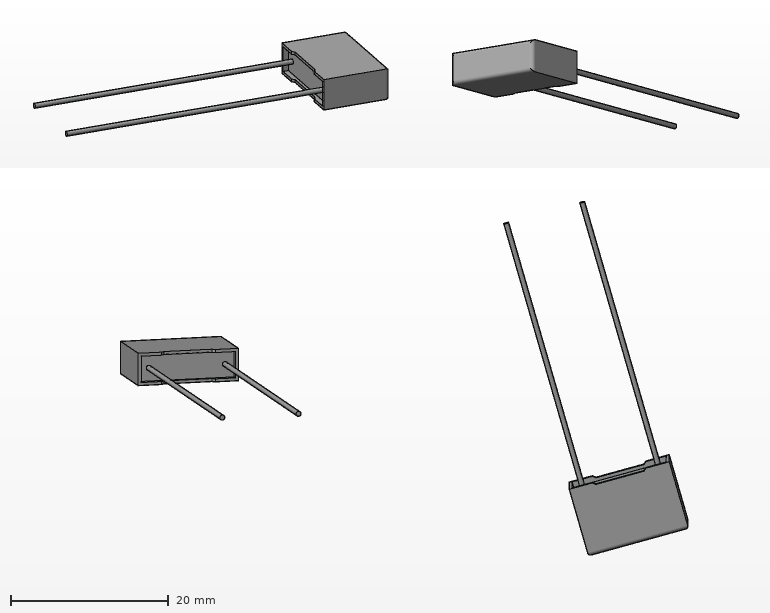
import cadquery as cq


overall_length = 44.1
case_width = 13.2
case_height = 4.2
case_depth = 9.1
wall = 0.4
back_edge_radius = 0.5
notch_depth = 0.3
notch_mouth_width = 7.05
notch_floor_width = 6.3
filling_recess = 0.75
lead_diameter = 0.65
lead_pitch = 10.0

cavity_width = case_width - 2 * wall
cavity_height = case_height - 2 * wall
cavity_depth = case_depth - wall
filling_depth = cavity_depth - filling_recess
lead_tip_y = case_depth - overall_length
lead_length = filling_recess - lead_tip_y


def block_along_y(width, height, start_y, depth):
    """Box centred on the Y axis, running from start_y towards +Y."""
    return cq.Workplane("XY").box(width, depth, height, centered=(True, False, True)).translate((0, start_y, 0))


def make_notch_cutter():
    """Shallow trapezoid that relieves the mouth of both wide walls."""
    return (
        cq.Workplane("XY")
        .polyline([
            (-notch_mouth_width / 2, 0),
            (notch_mouth_width / 2, 0),
            (notch_floor_width / 2, notch_depth),
            (-notch_floor_width / 2, notch_depth),
        ])
        .close()
        .extrude(case_height, both=True)
    )


def make_case():
    """Five-sided case with rounded back edges, open towards -Y."""
    outside = block_along_y(case_width, case_height, 0, case_depth)
    outside = outside.faces(">Y").edges().fillet(back_edge_radius)
    cavity = block_along_y(cavity_width, cavity_height, 0, cavity_depth)
    return outside.cut(cavity).cut(make_notch_cutter())


def make_filling():
    """Resin block that fills the cavity to just below the case mouth."""
    return block_along_y(cavity_width, cavity_height, filling_recess, filling_depth)


def make_lead(x):
    """Round wire from the filling's front face to the far tip."""
    return (
        cq.Workplane("XZ", origin=(x, filling_recess, 0))
        .circle(lead_diameter / 2)
        .extrude(lead_length)
    )


case = make_case()
filling = make_filling()
leads = [make_lead(side * lead_pitch / 2) for side in (-1, 1)]

result = cq.Compound.makeCompound([case.val(), filling.val(), *[lead.val() for lead in leads]])